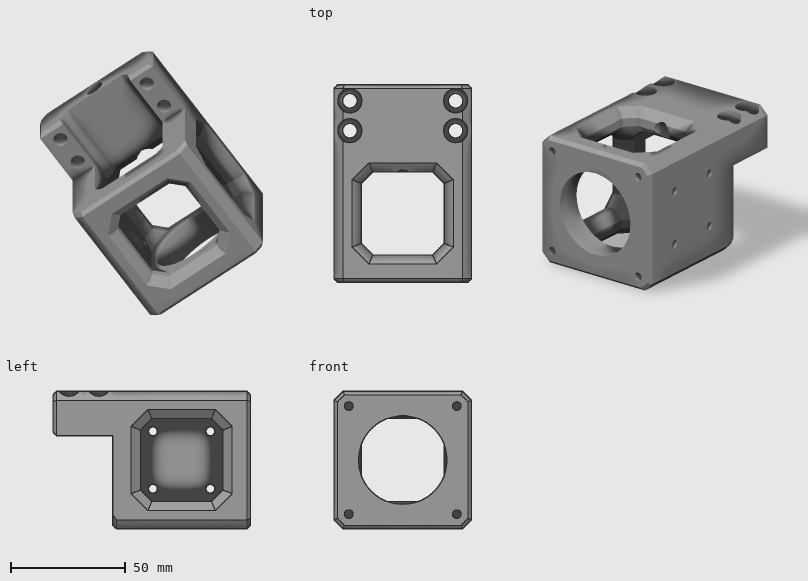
import cadquery as cq
import math

cube_side = 60.0
half_side = cube_side / 2
total_length = 86.0
arm_thickness = 19.5
long_edge_chamfer = 4.0
end_chamfer = 1.6

wall = 8.0
front_wall = 12.0
cavity_half = half_side - wall
window_side = 36.0
window_corner_cut = 5.0
window_bevel = 4.0

back_passage_diameter = 46.0

front_opening_diameter = 38.5
front_hole_offset = 23.5
front_hole_depth = 10.0

screw_hole_diameter = 3.75
side_hole_offset = 12.5

mount_hole_diameter = 6.25
mount_bore_diameter = 10.5
mount_bore_depth = 8.0
mount_x = 23.0
mount_end_distance = 7.0
mount_rows = 2
mount_pitch = 13.0

cable_hole_diameter = 8.2
cable_hole_z = 22.8

front_y = -half_side
back_y = front_y + total_length

front_plane = cq.Plane(origin=(0, front_y, 0), xDir=(1, 0, 0), normal=(0, -1, 0))
left_plane = cq.Plane(origin=(-half_side, 0, 0), xDir=(0, -1, 0), normal=(-1, 0, 0))
top_plane = cq.Plane(origin=(0, 0, half_side), xDir=(1, 0, 0), normal=(0, 0, 1))
bottom_plane = cq.Plane(origin=(0, 0, -half_side), xDir=(1, 0, 0), normal=(0, 0, -1))


def make_body():
    """Cube and arm, with the end chamfers at the front, the arm tip and the cube's lower back edge."""
    below_arm = (
        cq.Workplane("XY")
        .box(cube_side, total_length - cube_side, cube_side - arm_thickness, centered=(True, False, False))
        .translate((0, half_side, -half_side))
    )
    body = (
        cq.Workplane(front_plane)
        .rect(cube_side, cube_side)
        .extrude(-total_length)
        .edges("|Y")
        .chamfer(long_edge_chamfer)
        .cut(below_arm)
    )
    body = body.faces("<Y").edges().chamfer(end_chamfer)
    body = body.faces(">Y").edges().chamfer(end_chamfer)
    lower_back_edges = cq.selectors.BoxSelector(
        (-cube_side, half_side - end_chamfer / 2, -cube_side),
        (cube_side, half_side + end_chamfer / 2, -half_side + long_edge_chamfer - end_chamfer / 2),
    )
    return body.edges(lower_back_edges).chamfer(end_chamfer)


def octagon(side, corner_cut):
    """Square outline with its corners cut off at 45 degrees."""
    return cq.Sketch().rect(side, side).vertices().chamfer(corner_cut)


def make_cavity():
    """Cube-shaped hollow with flat bevels at its edges and corners, closed off flat by the front wall."""
    edge_bevel = cavity_half - window_side / 2
    cavity = cq.Workplane("XY").box(2 * cavity_half, 2 * cavity_half, 2 * cavity_half)
    cavity = cavity.edges().chamfer(edge_bevel)
    corner_sum = cavity_half + window_side - window_corner_cut
    foot = corner_sum / 3
    for x in (-1, 1):
        for y in (-1, 1):
            for z in (-1, 1):
                plane = cq.Plane(origin=(x * foot, y * foot, z * foot), normal=(x, y, z))
                corner = cq.Workplane(plane).rect(cube_side, cube_side).extrude(cavity_half)
                cavity = cavity.cut(corner)
    front_wall_block = (
        cq.Workplane(front_plane)
        .rect(cube_side, cube_side)
        .extrude(-front_wall)
    )
    return cavity.cut(front_wall_block)


def make_window(plane):
    """Octagonal opening from a face into the hollow, bevelled outward at the face."""
    opening = cq.Workplane(plane).placeSketch(octagon(window_side, window_corner_cut)).extrude(-half_side)
    outer_side = window_side + 2 * window_bevel
    outer_corner_cut = window_corner_cut + window_bevel * (2 - math.sqrt(2))
    bevel = (
        cq.Workplane(plane)
        .placeSketch(
            octagon(outer_side, outer_corner_cut),
            octagon(window_side, window_corner_cut).moved(cq.Location(cq.Vector(0, 0, -window_bevel))),
        )
        .loft(ruled=True)
    )
    return opening.union(bevel)


def make_back_passage():
    """Square passage with rounded-off corners, running from the hollow to the arm tip."""
    square = cq.Workplane("XZ").rect(window_side, window_side).extrude(-back_y)
    round_bar = cq.Workplane("XZ").circle(back_passage_diameter / 2).extrude(-back_y)
    return square.intersect(round_bar)


def make_front_cuts():
    """Round front opening and the blind screw holes around it."""
    opening = cq.Workplane(front_plane).circle(front_opening_diameter / 2).extrude(-front_wall)
    holes = (
        cq.Workplane(front_plane)
        .rect(2 * front_hole_offset, 2 * front_hole_offset, forConstruction=True)
        .vertices()
        .circle(screw_hole_diameter / 2)
        .extrude(-front_hole_depth)
    )
    return opening.union(holes)


def make_side_holes():
    """Four screw holes through the +X wall."""
    return (
        cq.Workplane("YZ")
        .rect(2 * side_hole_offset, 2 * side_hole_offset, forConstruction=True)
        .vertices()
        .circle(screw_hole_diameter / 2)
        .extrude(half_side)
    )


def make_mount_holes():
    """Two pairs of counterbored vertical holes through the arm."""
    first_y = back_y - mount_end_distance
    centres = [(x, first_y - row * mount_pitch) for x in (-mount_x, mount_x) for row in range(mount_rows)]
    through = (
        cq.Workplane(top_plane)
        .pushPoints(centres)
        .circle(mount_hole_diameter / 2)
        .extrude(-arm_thickness)
    )
    bores = (
        cq.Workplane(top_plane)
        .pushPoints(centres)
        .circle(mount_bore_diameter / 2)
        .extrude(-mount_bore_depth)
    )
    return through.union(bores)


def make_cable_hole():
    """Round hole along Y from the top window to the arm tip."""
    return (
        cq.Workplane("XZ")
        .center(0, cable_hole_z)
        .circle(cable_hole_diameter / 2)
        .extrude(-back_y)
    )


result = make_body().cut(make_cavity())
for window_plane in (left_plane, top_plane, bottom_plane):
    result = result.cut(make_window(window_plane))
result = result.cut(make_back_passage())
result = result.cut(make_front_cuts())
result = result.cut(make_side_holes())
result = result.cut(make_mount_holes())
result = result.cut(make_cable_hole())